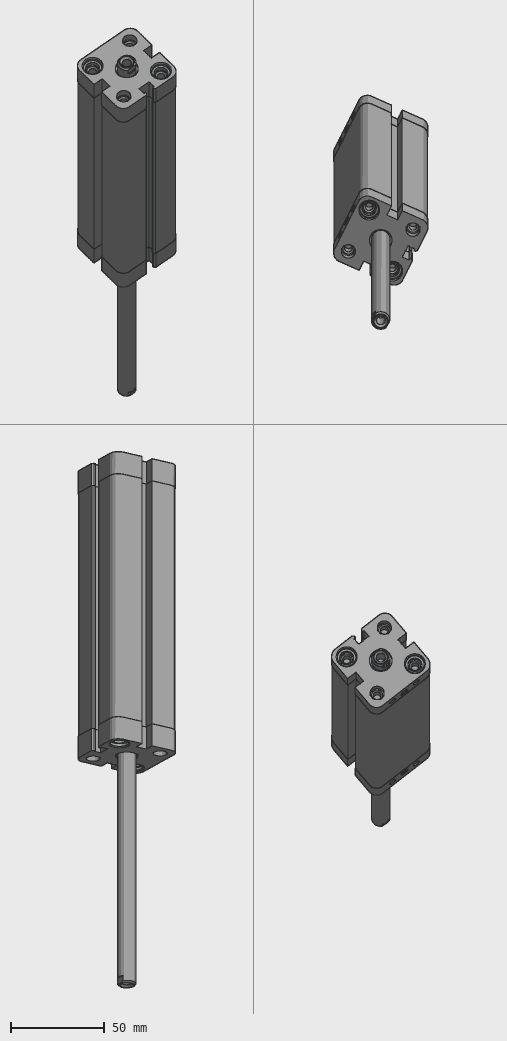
import cadquery as cq

cap_width = 40.3
barrel_width = 40.0
corner_radius = 5.0
housing_height = 164.0
cap_height = 12.5
barrel_height = housing_height - 2 * cap_height

slot_width = 6.3
slot_depth = 5.7
lipped_slot_width = 7.0
slot_lip_depth = 1.8
slot_mouth_width = 4.8
slot_mouth_bevel = 1.0

rod_diameter = 10.0
rod_length = 301.0
rod_below_housing = 131.0
rod_flat_spacing = 8.5
rod_flat_length = 4.0
rod_chamfer_width = 1.0
rod_chamfer_length = 1.0
rod_hole_diameter = 4.8
rod_hole_depth = 12.0
rod_hole_rim_diameter = 7.2

rod_opening_diameter = 12.0
rod_opening_lip = 1.0
rod_groove_diameter = 13.8
rod_groove_width = 1.5

mount_offset = 13.0
mount_bore_diameter = 7.5
mount_bore_depth = 4.5
mount_thread_diameter = 4.2
mount_thread_depth = 10.8
mount_thread_rim_diameter = 6.0
counterbore_diameter = 10.0
counterbore_depth = 2.0
counterbore_rim_diameter = 11.0

port_diameter = 4.2
port_rim_diameter = 4.8
port_depth = 6.0
port_inset = 7.5
side_hole_diameter = 2.7
side_hole_rim_diameter = 4.2
side_hole_depth = 3.0
side_hole_inset = 6.3
side_hole_offset = 8.0

barrel_bottom = rod_below_housing + cap_height
barrel_top = barrel_bottom + barrel_height


def blind_hole(diameter, depth, rim_diameter=None):
    """Cutter for a hole from the origin down -Z, with an optional 45 degree countersink."""
    cutter = cq.Workplane("XY").circle(diameter / 2).extrude(-depth)
    if rim_diameter:
        rim_radius = rim_diameter / 2
        countersink = cq.Solid.makeCone(rim_radius, 0, rim_radius, dir=cq.Vector(0, 0, -1))
        cutter = cutter.union(cq.Workplane(countersink))
    return cutter


def plain_slots(width, height):
    """Rectangular slots in the +Y and -Y faces."""
    centre = width / 2 - slot_depth / 2
    places = [(0, centre), (0, -centre)]
    return cq.Workplane("XY").pushPoints(places).rect(slot_width, slot_depth).extrude(height)


def lipped_slot(width, height):
    """Slot in the +X face, narrowed by two lips with bevelled outer edges."""
    half_width = width / 2
    floor = half_width - slot_depth
    lip = half_width - slot_lip_depth
    bevel = half_width - slot_mouth_bevel
    half_slot = lipped_slot_width / 2
    half_mouth = slot_mouth_width / 2
    outline = cq.Workplane("XY").moveTo(floor, 0).lineTo(floor, half_slot).lineTo(lip, half_slot)
    outline = outline.lineTo(lip, half_mouth).lineTo(bevel, half_mouth)
    outline = outline.lineTo(half_width, half_mouth + slot_mouth_bevel).lineTo(half_width, 0)
    return outline.mirrorX().extrude(height)


def housing_section(width, height):
    """Slotted square section from z = 0 up, bored for the rod."""
    section = cq.Workplane("XY").rect(width, width).extrude(height)
    section = section.edges("|Z").fillet(corner_radius)
    section = section.cut(plain_slots(width, height)).cut(lipped_slot(width, height))
    return section.cut(cq.Workplane("XY").circle(rod_diameter / 2).extrude(height))


def rod_opening():
    """Cutter for the lipped opening around the rod, from the origin down -Z."""
    opening = blind_hole(rod_opening_diameter, rod_opening_lip)
    groove = blind_hole(rod_groove_diameter, rod_groove_width)
    return opening.union(groove.translate((0, 0, -rod_opening_lip)))


def mounting_hole(counterbored):
    """Cutter for a stepped corner hole, from the origin down -Z."""
    thread_length = mount_thread_depth - mount_bore_depth
    thread = blind_hole(mount_thread_diameter, thread_length, mount_thread_rim_diameter)
    hole = blind_hole(mount_bore_diameter, mount_bore_depth)
    hole = hole.union(thread.translate((0, 0, -mount_bore_depth)))
    if counterbored:
        hole = hole.union(blind_hole(counterbore_diameter, counterbore_depth, counterbore_rim_diameter))
    return hole


def side_cutter(hole, y, z):
    """Turn a cutter to enter the -X face at the given place."""
    return hole.rotate((0, 0, 0), (0, 1, 0), -90).translate((-cap_width / 2, y, z))


def make_cap():
    """End cap with its outer face up."""
    cap = housing_section(cap_width, cap_height)
    cap = cap.cut(rod_opening().translate((0, 0, cap_height)))
    for x_side in (-1, 1):
        for y_side in (-1, 1):
            hole = mounting_hole(counterbored=x_side == y_side)
            cap = cap.cut(hole.translate((x_side * mount_offset, y_side * mount_offset, cap_height)))
    port = blind_hole(port_diameter, port_depth, port_rim_diameter)
    cap = cap.cut(side_cutter(port, 0, cap_height - port_inset))
    side_hole = blind_hole(side_hole_diameter, side_hole_depth, side_hole_rim_diameter)
    for y in (-side_hole_offset, side_hole_offset):
        cap = cap.cut(side_cutter(side_hole, y, cap_height - side_hole_inset))
    return cap


def make_rod():
    """Rod with a chamfer, two wrench flats and a countersunk hole at each end."""
    rod = cq.Workplane("XY").circle(rod_diameter / 2).extrude(rod_length)
    rod = rod.faces("<Z or >Z").chamfer(rod_chamfer_length, rod_chamfer_width)
    flat_cut_centre = rod_flat_spacing / 2 + rod_diameter / 2
    for end in (rod_flat_length / 2, rod_length - rod_flat_length / 2):
        for side in (-1, 1):
            flat_cut = cq.Workplane("XY").box(rod_diameter, rod_diameter, rod_flat_length)
            rod = rod.cut(flat_cut.translate((side * flat_cut_centre, 0, end)))
    hole = blind_hole(rod_hole_diameter, rod_hole_depth, rod_hole_rim_diameter)
    rod = rod.cut(hole.translate((0, 0, rod_length)))
    return rod.cut(hole.mirror("XY"))


barrel = housing_section(barrel_width, barrel_height).translate((0, 0, barrel_bottom))
top_cap = make_cap().translate((0, 0, barrel_top))
bottom_cap = make_cap().mirror("XY").translate((0, 0, barrel_bottom))
rod = make_rod()

result = cq.Compound.makeCompound([barrel.val(), top_cap.val(), bottom_cap.val(), rod.val()])